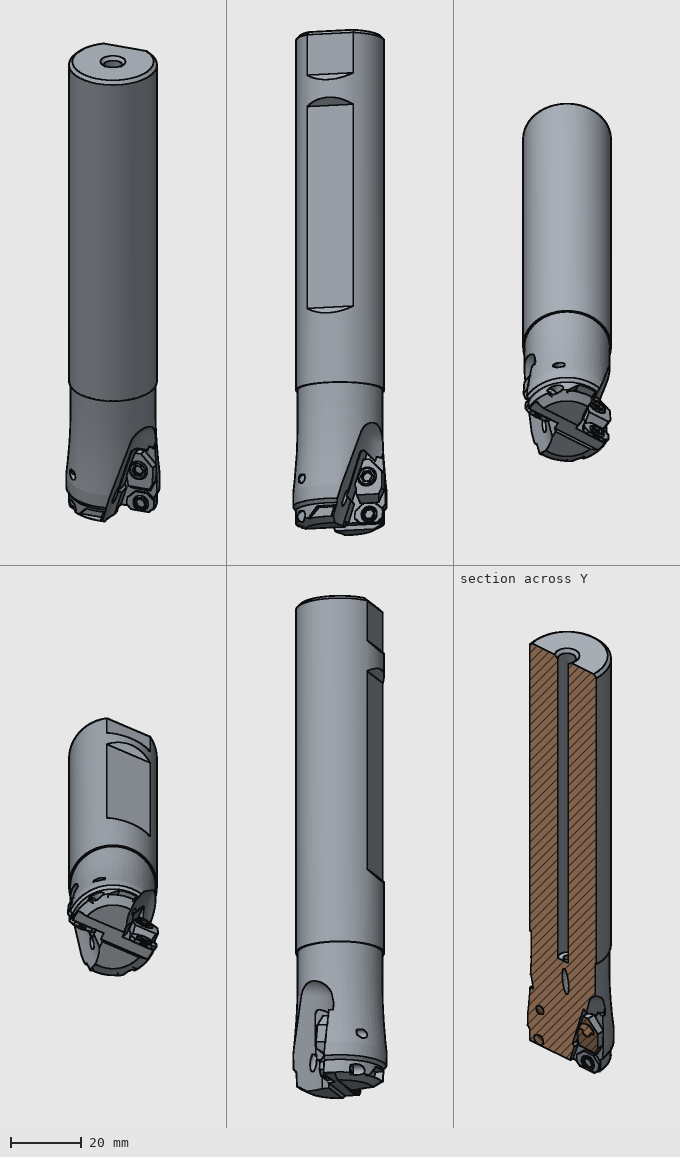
import cadquery as cq
import math

TOTAL_LENGTH = 142.0
SHANK_RADIUS = 12.5
SHANK_CHAMFER = 1.0
SHANK_BOTTOM = 40.0
NECK_RADIUS = 12.0
NECK_BOTTOM = 32.7
FLARE_MIDDLE = (12.42, 19.9)
RIM_RADIUS = 13.28
RIM_TOP = 10.4
RIM_BOTTOM = 6.4
NOSE_RADIUS = 12.5
NOSE_TOP = 5.3
NOSE_CHAMFER_TOP = 1.5
NOSE_FACE_RADIUS = 9.7

FLAT_OFFSET = 10.5
UPPER_FLAT_BOTTOM = 129.3
LOWER_FLAT_TOP = 120.3
LOWER_FLAT_BOTTOM = 62.0
FLAT_END_SLOPE = 45.0

BORE_RADIUS = 2.5
BORE_MOUTH_RADIUS = 3.5
BORE_BOTTOM = 35.5
BRANCH_RADIUS = 1.0
BRANCH_EXIT = (3.4, -6.8, 7.5)
BRANCH_OVERRUN = 4.3

RAKE_ANGLE = 5.0
SEAT_OFFSET = 0.7
RAKE_SIN = math.sin(math.radians(RAKE_ANGLE))
RAKE_COS = math.cos(math.radians(RAKE_ANGLE))

FLUTE_ANGLE = 16.0
FLUTE_FLOOR = 1.3
FLUTE_FLAT_START = 8.4
FLUTE_FLOOR_RADIUS = 12.8
FLUTE_RUNOUT_RADIUS = 6.4
FLUTE_STRAIGHT_END = 26.8
BAY_START = 22.7
BAY_DEPTH = 1.1
OVERCUT = 28.4

POCKET_INNER_TOP = 21.7
POCKET_OUTER_TOP = (14.5, 15.2)
POCKET_STEP = 0.9
POCKET_STEP_BOTTOM = 7.0
POCKET_STEP_TOP = 7.8
POCKET_HEIGHT = 6.0
POCKET_CORNER_RADIUS = 1.7

UPPER_THICKNESS = 2.8
UPPER_BASE = 7.1
UPPER_FACE_BOTTOM = 8.8
UPPER_TOP = 19.2
UPPER_OUTLINE = [
    (6.0, UPPER_BASE),
    (11.4, UPPER_BASE),
    (12.9, 10.5),
    (12.9, 15.5),
    (9.2, UPPER_TOP),
    (7.4, UPPER_TOP),
    (5.1, 12.0),
]
LOWER_THICKNESS = 1.1
LOWER_FLANK_ANGLE = 10.0
LOWER_BOTTOM = 1.0
LOWER_OUTLINE = [
    (6.1, LOWER_BOTTOM),
    (11.5, LOWER_BOTTOM),
    (12.9, 2.4),
    (12.9, 4.8),
    (10.8, 6.7),
    (7.1, 6.7),
    (4.8, 4.4),
    (4.8, 2.3),
]
UPPER_SCREW_AT = (8.59, 14.0)
LOWER_SCREW_AT = (9.02, 3.4)
UPPER_SHANK_RADIUS = 1.3
LOWER_SHANK_RADIUS = 1.5
SCREW_TIP_DEPTH = 7.1
HEAD_CROWN = 0.5
HEAD_BEVEL = 0.4
HEAD_HEIGHT = 0.5
SOCKET_DEPTH = 0.9
UPPER_HEAD_RADIUS = 2.7
LOWER_HEAD_RADIUS = 2.3
UPPER_SOCKET_RADIUS = 1.7
LOWER_SOCKET_RADIUS = 1.5

END_SLOT_WIDTH = 5.1
END_SLOT_TOP = 1.4
RECESS_FLOOR = 10.0
RECESS_TOP = 4.5
RECESS_BOTTOM = 1.4
RECESS_OUTLINE = [
    (0.9, RECESS_BOTTOM),
    (1.8, RECESS_TOP),
    (-3.4, RECESS_TOP),
    (-6.2, RECESS_BOTTOM),
]

SIDE_ANGLES = (0, 180)


def seat_plane(turn=0.0):
    """Plane on the seat: its x runs outward, its y up, its normal off the seat; `turn` leans it outward."""
    plane = cq.Plane(
        origin=(0, -SEAT_OFFSET, 0),
        xDir=(1, 0, 0),
        normal=(0, -RAKE_COS, RAKE_SIN),
    )
    return plane.rotated((0, 0, -turn))


def turned_about_axis(shape, angle):
    return shape.rotate((0, 0, 0), (0, 0, 1), angle)


def blank():
    return (
        cq.Workplane("XZ")
        .lineTo(NOSE_FACE_RADIUS, 0)
        .lineTo(NOSE_RADIUS, NOSE_CHAMFER_TOP)
        .lineTo(NOSE_RADIUS, NOSE_TOP)
        .lineTo(RIM_RADIUS, RIM_BOTTOM)
        .lineTo(RIM_RADIUS, RIM_TOP)
        .threePointArc(FLARE_MIDDLE, (NECK_RADIUS, NECK_BOTTOM))
        .lineTo(NECK_RADIUS, SHANK_BOTTOM)
        .lineTo(SHANK_RADIUS, SHANK_BOTTOM)
        .lineTo(SHANK_RADIUS, TOTAL_LENGTH - SHANK_CHAMFER)
        .lineTo(SHANK_RADIUS - SHANK_CHAMFER, TOTAL_LENGTH)
        .lineTo(0, TOTAL_LENGTH)
        .close()
        .revolve(360, (0, 0), (0, 1))
    )


def clamping_flats():
    rise = (RIM_RADIUS - FLAT_OFFSET) / math.tan(math.radians(FLAT_END_SLOPE))
    upper = [
        (FLAT_OFFSET, UPPER_FLAT_BOTTOM),
        (RIM_RADIUS, UPPER_FLAT_BOTTOM - rise),
        (RIM_RADIUS, TOTAL_LENGTH),
        (FLAT_OFFSET - SHANK_CHAMFER, TOTAL_LENGTH),
        (FLAT_OFFSET, TOTAL_LENGTH - SHANK_CHAMFER),
    ]
    lower = [
        (FLAT_OFFSET, LOWER_FLAT_BOTTOM),
        (RIM_RADIUS, LOWER_FLAT_BOTTOM - rise),
        (RIM_RADIUS, LOWER_FLAT_TOP + rise),
        (FLAT_OFFSET, LOWER_FLAT_TOP),
    ]
    cuts = cq.Workplane("YZ").polyline(upper).close().extrude(RIM_RADIUS, both=True)
    return cuts.union(cq.Workplane("YZ").polyline(lower).close().extrude(RIM_RADIUS, both=True))


def coolant_bore():
    mouth = BORE_MOUTH_RADIUS - BORE_RADIUS
    return (
        cq.Workplane("XZ")
        .moveTo(0, BORE_BOTTOM)
        .lineTo(BORE_RADIUS, BORE_BOTTOM)
        .lineTo(BORE_RADIUS, TOTAL_LENGTH - mouth)
        .lineTo(BORE_MOUTH_RADIUS, TOTAL_LENGTH)
        .lineTo(0, TOTAL_LENGTH)
        .close()
        .revolve(360, (0, 0), (0, 1))
    )


def coolant_branch():
    start = cq.Vector(0, 0, BORE_BOTTOM)
    run = cq.Vector(*BRANCH_EXIT) - start
    length = run.Length + BRANCH_OVERRUN
    return cq.Workplane(obj=cq.Solid.makeCylinder(BRANCH_RADIUS, length, start, run))


def flute_section(start, wall, top):
    """Section across the flute at `start` along it: a flat floor that curves up to a wall off the seat."""
    centre = FLUTE_FLOOR + FLUTE_FLOOR_RADIUS

    def floor_at(height):
        return centre - math.sqrt(FLUTE_FLOOR_RADIUS**2 - (FLUTE_FLAT_START - height) ** 2)

    frame = seat_plane(FLUTE_ANGLE)
    plane = cq.Plane(frame.toWorldCoords((0, start, 0)), frame.xDir, frame.yDir)
    middle = (FLUTE_FLAT_START + wall) / 2
    return (
        cq.Workplane(plane)
        .moveTo(top, -OVERCUT)
        .lineTo(FLUTE_FLOOR, -OVERCUT)
        .lineTo(FLUTE_FLOOR, -FLUTE_FLAT_START)
        .threePointArc((floor_at(middle), -middle), (floor_at(wall), -wall))
        .lineTo(top, -wall)
        .close()
    )


def flute():
    straight = flute_section(-OVERCUT, 0, OVERCUT).extrude(OVERCUT + FLUTE_STRAIGHT_END)
    bay = flute_section(BAY_START, -BAY_DEPTH, OVERCUT).extrude(FLUTE_STRAIGHT_END - BAY_START)
    axis = FLUTE_FLOOR + FLUTE_RUNOUT_RADIUS
    runout = flute_section(FLUTE_STRAIGHT_END, -BAY_DEPTH, axis).revolve(90, (axis, 0), (axis, 1))
    return straight.union(bay).union(runout)


def insert_pocket():
    """Recess down to the seat, with an inner wall along the flute floor and a sloping roof."""

    def wall_point(height, step):
        angle = math.radians(FLUTE_ANGLE)
        return ((FLUTE_FLOOR + step) / math.cos(angle) + height * math.tan(angle), height)

    roof_start = wall_point(POCKET_INNER_TOP, 0)
    outline = [
        wall_point(-OVERCUT, POCKET_STEP),
        wall_point(POCKET_STEP_BOTTOM, POCKET_STEP),
        wall_point(POCKET_STEP_TOP, 0),
        roof_start,
        POCKET_OUTER_TOP,
        (POCKET_OUTER_TOP[0], -OVERCUT),
    ]
    pocket = cq.Workplane(seat_plane()).polyline(outline).close().extrude(POCKET_HEIGHT)
    roof_middle = (
        (roof_start[0] + POCKET_OUTER_TOP[0]) / 2,
        (roof_start[1] + POCKET_OUTER_TOP[1]) / 2,
        POCKET_HEIGHT,
    )
    edge_point = seat_plane().toWorldCoords(roof_middle)
    roof_edge = cq.selectors.NearestToPointSelector(edge_point.toTuple())
    return pocket.edges(roof_edge).fillet(POCKET_CORNER_RADIUS)


def end_slot():
    return cq.Workplane("XY").box(
        2 * RIM_RADIUS, END_SLOT_WIDTH, END_SLOT_TOP, centered=(True, True, False)
    )


def nose_recess():
    plane = cq.Workplane("XZ", origin=(0, -RECESS_FLOOR, 0))
    return plane.polyline(RECESS_OUTLINE).close().extrude(RIM_RADIUS)


def screw_hole(place, radius):
    hole = cq.Workplane(seat_plane()).center(*place).circle(radius)
    return hole.extrude(-OVERCUT)


def screw(place, thickness, shank_radius, head_radius, socket_radius):
    """Turned screw along the seat normal, with a bevelled head and a hexagonal socket."""
    under = thickness - HEAD_HEIGHT
    crown = thickness + HEAD_CROWN
    centre = seat_plane().toWorldCoords((*place, 0))
    base = seat_plane()
    profile_plane = cq.Plane(centre, base.xDir, -base.yDir)
    body = (
        cq.Workplane(profile_plane)
        .moveTo(0, -SCREW_TIP_DEPTH)
        .lineTo(shank_radius, -SCREW_TIP_DEPTH)
        .lineTo(shank_radius, under)
        .lineTo(head_radius, under)
        .lineTo(head_radius, crown - HEAD_BEVEL)
        .lineTo(head_radius - HEAD_BEVEL, crown)
        .lineTo(0, crown)
        .close()
        .revolve(360, (0, 0), (0, 1))
    )
    top = cq.Workplane(base).workplane(offset=crown).center(*place)
    socket = top.polygon(6, 2 * socket_radius).extrude(-SOCKET_DEPTH)
    return body.cut(socket)


def screw_seat(insert, place, thickness, shank_radius, head_radius):
    """Drills an insert for its screw, with a counterbore for the head."""
    base = cq.Workplane(seat_plane()).center(*place)
    shank = base.circle(shank_radius).extrude(thickness)
    head = base.workplane(offset=thickness).circle(head_radius).extrude(-HEAD_HEIGHT)
    return insert.cut(shank).cut(head)


def upper_insert():
    plate = cq.Workplane(seat_plane()).polyline(UPPER_OUTLINE).close().extrude(UPPER_THICKNESS)
    base = seat_plane()
    side = cq.Plane(base.origin, base.yDir, base.xDir)
    underside = (
        cq.Workplane(side)
        .polyline([
            (UPPER_BASE, 0),
            (UPPER_FACE_BOTTOM, UPPER_THICKNESS),
            (UPPER_BASE, UPPER_THICKNESS),
        ])
        .close()
        .extrude(RIM_RADIUS)
    )
    plate = plate.cut(underside)
    return screw_seat(plate, UPPER_SCREW_AT, UPPER_THICKNESS, UPPER_SHANK_RADIUS, UPPER_HEAD_RADIUS)


def lower_insert():
    face = cq.Workplane(seat_plane()).workplane(offset=LOWER_THICKNESS)
    plate = face.polyline(LOWER_OUTLINE).close().extrude(-LOWER_THICKNESS, taper=LOWER_FLANK_ANGLE)
    return screw_seat(plate, LOWER_SCREW_AT, LOWER_THICKNESS, LOWER_SHANK_RADIUS, LOWER_HEAD_RADIUS)


def upper_screw():
    return screw(
        UPPER_SCREW_AT,
        UPPER_THICKNESS,
        UPPER_SHANK_RADIUS,
        UPPER_HEAD_RADIUS,
        UPPER_SOCKET_RADIUS,
    )


def lower_screw():
    return screw(
        LOWER_SCREW_AT,
        LOWER_THICKNESS,
        LOWER_SHANK_RADIUS,
        LOWER_HEAD_RADIUS,
        LOWER_SOCKET_RADIUS,
    )


def cutter_body():
    body = blank().cut(clamping_flats()).cut(coolant_bore()).cut(end_slot())
    side_cuts = [
        flute(),
        insert_pocket(),
        coolant_branch(),
        nose_recess(),
        screw_hole(UPPER_SCREW_AT, UPPER_SHANK_RADIUS),
        screw_hole(LOWER_SCREW_AT, LOWER_SHANK_RADIUS),
    ]
    for angle in SIDE_ANGLES:
        for cut in side_cuts:
            body = body.cut(turned_about_axis(cut, angle))
    return body


cutter = cutter_body()
upper_inserts = [turned_about_axis(upper_insert(), angle) for angle in SIDE_ANGLES]
lower_inserts = [turned_about_axis(lower_insert(), angle) for angle in SIDE_ANGLES]
upper_screws = [turned_about_axis(upper_screw(), angle) for angle in SIDE_ANGLES]
lower_screws = [turned_about_axis(lower_screw(), angle) for angle in SIDE_ANGLES]

fittings = upper_inserts + lower_inserts + upper_screws + lower_screws
result = cq.Compound.makeCompound([cutter.val(), *[fitting.val() for fitting in fittings]])